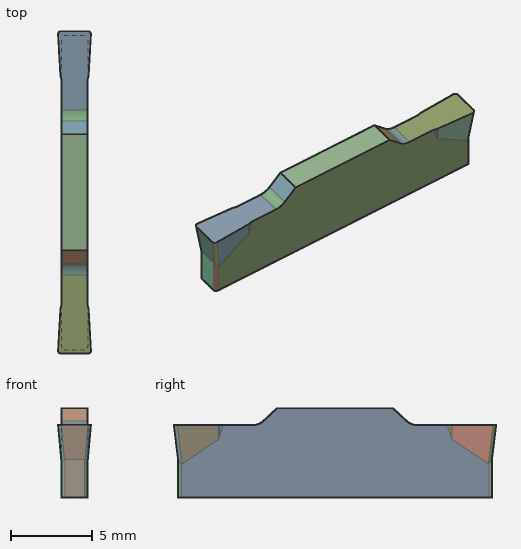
import cadquery as cq
import math

length = 19.86
height = 5.5
body_width = 1.6
body_length = 19.35
end_corner_radius = 0.2

shelf_height = 4.47
raised_length = 7.15
ramp_angle = math.radians(43)
ramp_foot_radius = 1.0

tip_half_width = 1.03
end_relief_angle = math.radians(7)
flare_start_y = 7.17
flare_start_z = 3.61
flare_runout = 0.28
flare_line_slope = math.tan(math.radians(34))
flare_base_z = 1.59
flare_blend_radius = 0.34

half_body = body_width / 2
tip_y = length / 2


def make_body():
    """Plate with a raised middle, ramped and filleted down to a shelf at each end."""
    arc_rise = ramp_foot_radius * (1 - math.cos(ramp_angle))
    arc_run = ramp_foot_radius * math.sin(ramp_angle)
    ramp_run = (height - shelf_height - arc_rise) / math.tan(ramp_angle)
    crest_y = raised_length / 2
    arc_top = (crest_y + ramp_run, shelf_height + arc_rise)
    arc_end = (arc_top[0] + arc_run, shelf_height)
    arc_mid = (
        arc_end[0] - ramp_foot_radius * math.sin(ramp_angle / 2),
        shelf_height + ramp_foot_radius * (1 - math.cos(ramp_angle / 2)),
    )
    half = (
        cq.Workplane("YZ")
        .lineTo(0, height)
        .lineTo(crest_y, height)
        .lineTo(*arc_top)
        .threePointArc(arc_mid, arc_end)
        .lineTo(body_length / 2, shelf_height)
        .lineTo(body_length / 2, 0)
        .close()
        .extrude(half_body, both=True)
        .faces(">Y")
        .edges("|Z")
        .fillet(end_corner_radius)
    )
    return half.union(half.mirror("XZ"))


def planar_face(points):
    return cq.Face.makeFromWires(cq.Wire.makePolygon([cq.Vector(*p) for p in points], close=True))


def mirror_x(point):
    x, y, z = point
    return (-x, y, z)


def make_flare():
    """Widened end at +Y: tapering side faces, a relieved end face and rounded corners."""
    line_z_at_tip = flare_start_z - flare_line_slope * (tip_y - flare_start_y)
    taper = (tip_half_width - half_body) / (shelf_height - line_z_at_tip)

    def side_x(y, z):
        line_z = flare_start_z - flare_line_slope * (y - flare_start_y)
        return half_body + taper * (z - line_z)

    base_y = tip_y - (shelf_height - flare_base_z) * math.tan(end_relief_angle)
    tip = (tip_half_width, tip_y, shelf_height)
    base = (side_x(base_y, flare_base_z), base_y, flare_base_z)
    shoulder = (side_x(flare_start_y, shelf_height), flare_start_y, shelf_height)
    start = (half_body, flare_start_y, flare_start_z)
    runout = (half_body, flare_start_y - flare_runout, shelf_height)

    side = [tip, shoulder, start, base]
    blend = [shoulder, runout, start]
    outlines = [side, blend]
    outlines += [[mirror_x(p) for p in outline] for outline in (side, blend)]
    for chain in ([tip, shoulder, runout], [runout, start], [start, base], [base, tip]):
        outlines.append(chain + [mirror_x(p) for p in reversed(chain)])

    shell = cq.Shell.makeShell([planar_face(outline) for outline in outlines])
    flare = cq.Workplane(obj=cq.Solid.makeSolid(shell))

    def round_edges(solid, first, second, radius):
        middle = tuple((a + b) / 2 for a, b in zip(first, second))
        for point in (middle, mirror_x(middle)):
            solid = solid.edges(cq.selectors.NearestToPointSelector(point)).fillet(radius)
        return solid

    flare = round_edges(flare, tip, base, end_corner_radius)
    return round_edges(flare, shoulder, start, flare_blend_radius)


flare = make_flare()
result = make_body().union(flare).union(flare.mirror("XZ"))